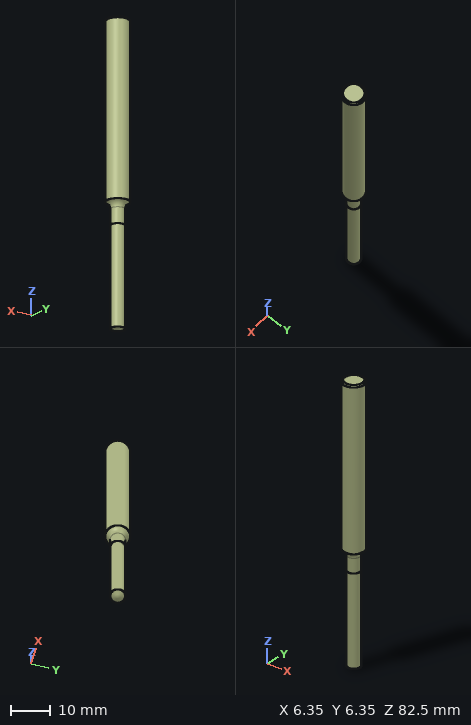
import cadquery as cq
import math

OVERALL_LENGTH = 82.55
SHANK_DIAMETER = 6.35
SHANK_RADIUS = SHANK_DIAMETER / 2
TOP_CHAMFER = 0.47

DRILL_DIAMETER = 3.85
DRILL_RADIUS = DRILL_DIAMETER / 2
POINT_ANGLE = 144.0
POINT_LENGTH = DRILL_RADIUS / math.tan(math.radians(POINT_ANGLE / 2))
DRILL_LENGTH = 28.0

NECK_RADIUS = DRILL_RADIUS
SHANK_BOTTOM_Z = 34.2
FILLET_RADIUS = 2.0

FILLET_ANGLE = math.acos(1 - (SHANK_RADIUS - NECK_RADIUS) / FILLET_RADIUS)
NECK_TOP_Z = SHANK_BOTTOM_Z - FILLET_RADIUS * math.sin(FILLET_ANGLE)
FILLET_MIDPOINT = (
    NECK_RADIUS + FILLET_RADIUS * (1 - math.cos(FILLET_ANGLE / 2)),
    NECK_TOP_Z + FILLET_RADIUS * math.sin(FILLET_ANGLE / 2),
)


def revolve_about_z(profile):
    """Turn a closed (radius, z) half-profile into a round solid about the Z axis."""
    return profile.close().revolve(360, (0, 0), (0, 1))


def make_drill():
    profile = (
        cq.Workplane("XZ")
        .moveTo(0, 0)
        .lineTo(DRILL_RADIUS, POINT_LENGTH)
        .lineTo(DRILL_RADIUS, DRILL_LENGTH)
        .lineTo(0, DRILL_LENGTH)
    )
    return revolve_about_z(profile)


def make_shank():
    profile = (
        cq.Workplane("XZ")
        .moveTo(0, DRILL_LENGTH)
        .lineTo(NECK_RADIUS, DRILL_LENGTH)
        .lineTo(NECK_RADIUS, NECK_TOP_Z)
        .threePointArc(FILLET_MIDPOINT, (SHANK_RADIUS, SHANK_BOTTOM_Z))
        .lineTo(SHANK_RADIUS, OVERALL_LENGTH - TOP_CHAMFER)
        .lineTo(SHANK_RADIUS - TOP_CHAMFER, OVERALL_LENGTH)
        .lineTo(0, OVERALL_LENGTH)
    )
    return revolve_about_z(profile)


drill = make_drill()
shank = make_shank()

result = cq.Compound.makeCompound([drill.val(), shank.val()])